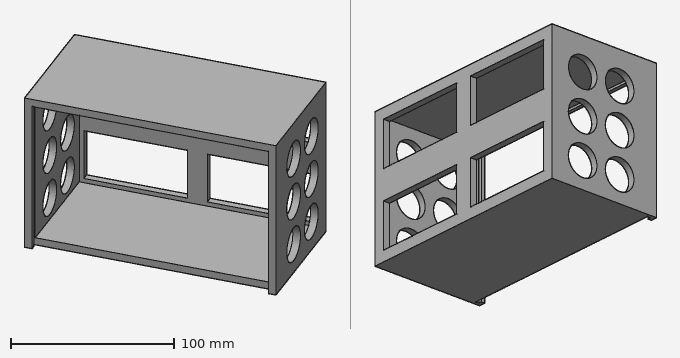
import cadquery as cq

width = 165.0
depth = 85.0
height = 105.0
inner_width = 155.0
wall = (width - inner_width) / 2

front_lip = 2.8
groove_width = 2.5
groove_depth = 2.5

windows_per_side = 2
window_margin = 3.0
window_gap_x = 13.0
window_gap_z = 22.0

hole_diameter = 23.1
hole_pitch = 30.0
hole_columns = 2
hole_rows = 3
first_hole_y = 30.0
first_hole_z = 20.0

inner_height = height - 2 * wall
floor_front = front_lip + groove_width


def block(x_size, y_size, z_size, x_start, y_start, z_start):
    """Box placed by its lowest corner."""
    corner = (x_start, y_start, z_start)
    return cq.Workplane("XY").box(x_size, y_size, z_size, centered=False).translate(corner)


def shell():
    """Box open at the front, with its floor set back behind the groove."""
    outer = block(width, depth, height, 0, 0, 0)
    cavity = block(inner_width, depth - wall, inner_height, wall, 0, wall)
    floor_setback = block(inner_width, floor_front, wall, wall, 0, 0)
    return outer.cut(cavity).cut(floor_setback)


def panel_groove():
    """Panel space reaching into both side walls and the roof."""
    groove_left = wall - groove_depth
    groove_span = inner_width + 2 * groove_depth
    groove_height = height - wall + groove_depth
    return block(groove_span, groove_width, groove_height, groove_left, front_lip, 0)


def back_windows():
    """Two by two rectangular openings through the back wall."""
    gap_count = windows_per_side - 1
    window_width = (inner_width - 2 * window_margin - gap_count * window_gap_x) / windows_per_side
    window_height = (inner_height - 2 * window_margin - gap_count * window_gap_z) / windows_per_side
    first_edge = wall + window_margin
    windows = cq.Workplane("XY")
    for column in range(windows_per_side):
        for row in range(windows_per_side):
            left = first_edge + column * (window_width + window_gap_x)
            bottom = first_edge + row * (window_height + window_gap_z)
            windows = windows.add(block(window_width, wall, window_height, left, depth - wall, bottom))
    return windows.combine()


def side_holes():
    """Grid of cylinders crossing the whole width."""
    centres = [
        (first_hole_y + column * hole_pitch, first_hole_z + row * hole_pitch)
        for column in range(hole_columns)
        for row in range(hole_rows)
    ]
    return cq.Workplane("YZ").pushPoints(centres).circle(hole_diameter / 2).extrude(width)


result = shell().cut(panel_groove()).cut(back_windows()).cut(side_holes())